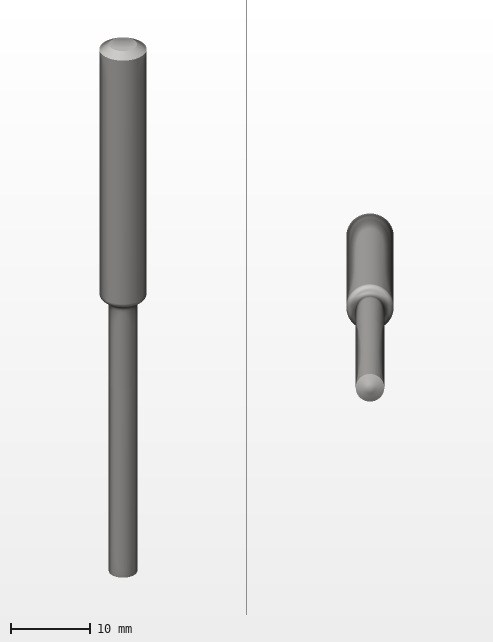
import cadquery as cq
import math

total_length = 77.0
shank_radius = 6.0 / 2
drill_radius = 3.6 / 2
top_face_radius = 3.55 / 2
top_chamfer_height = 0.71
shoulder_top = 41.0
shoulder_height = 1.5
split_height = 27.95
point_height = 0.655

neck_top = shoulder_top - shoulder_height
shoulder_step = shank_radius - drill_radius
shoulder_sweep = 2 * math.atan(shoulder_step / shoulder_height)
shoulder_arc_radius = shoulder_height / (2 * math.sin(shoulder_sweep))
half_sweep = shoulder_sweep / 2
arc_mid_drop = shoulder_arc_radius * math.sin(half_sweep)
arc_mid_inset = shoulder_arc_radius * (1 - math.cos(half_sweep))
shoulder_middle = (drill_radius + shoulder_step / 2, neck_top + shoulder_height / 2)


def make_shank():
    """Clamping shank with a chamfered top, a rounded shoulder and a neck."""
    return (
        cq.Workplane("XZ")
        .moveTo(0, split_height)
        .lineTo(drill_radius, split_height)
        .lineTo(drill_radius, neck_top)
        .threePointArc((drill_radius + arc_mid_inset, neck_top + arc_mid_drop), shoulder_middle)
        .threePointArc(
            (shank_radius - arc_mid_inset, shoulder_top - arc_mid_drop),
            (shank_radius, shoulder_top),
        )
        .lineTo(shank_radius, total_length - top_chamfer_height)
        .lineTo(top_face_radius, total_length)
        .lineTo(0, total_length)
        .close()
        .revolve(360, (0, 0), (0, 1))
    )


def make_cutting_part():
    """Plain cylinder with a conical point, butted against the neck."""
    return (
        cq.Workplane("XZ")
        .lineTo(drill_radius, point_height)
        .lineTo(drill_radius, split_height)
        .lineTo(0, split_height)
        .close()
        .revolve(360, (0, 0), (0, 1))
    )


shank = make_shank()
cutting_part = make_cutting_part()

result = cq.Compound.makeCompound([shank.val(), cutting_part.val()])